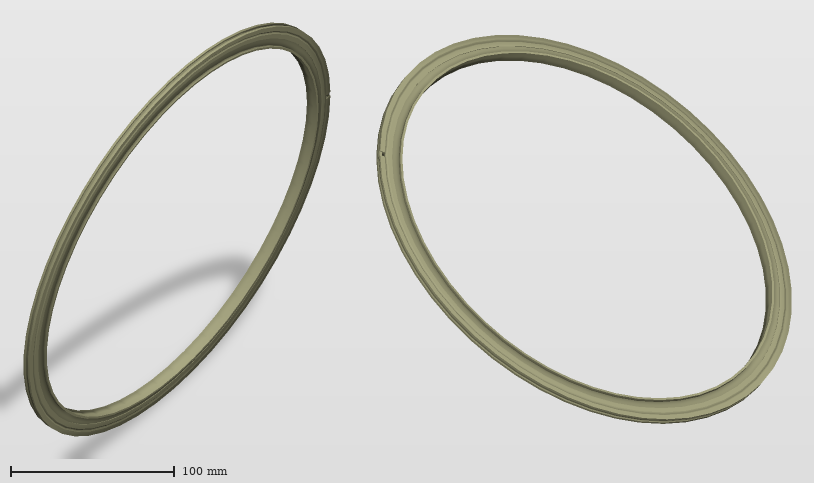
import cadquery as cq

outer_radius = 143.5
bore_radius = 129.0
sleeve_width = 8.0
sleeve_thickness = 1.5

rim_width = 5.0
web_width = 4.0
rim_inner_radius = 135.2

rim_groove_width = 2.0
rim_groove_depth = 1.1

side_groove_inner_radius = 138.3
side_groove_outer_radius = 140.3
side_groove_depth = 0.5

notch_width = 3.5
notch_floor_radius = 139.8
bridge_inner_radius = 141.8
bridge_thickness = 3.7


def ring(inner_radius, ring_outer_radius, width, center_x=0):
    """Plain ring around the X axis, centred at center_x."""
    start_x = center_x - width / 2
    return (
        cq.Workplane("YZ", origin=(start_x, 0, 0))
        .circle(ring_outer_radius)
        .circle(inner_radius)
        .extrude(width)
    )


def ring_body():
    """Wide thin sleeve with a web that thickens into the rim."""
    sleeve_radius = bore_radius + sleeve_thickness
    sleeve = ring(bore_radius, sleeve_radius, sleeve_width)
    web = ring(bore_radius, outer_radius, web_width)
    rim = ring(rim_inner_radius, outer_radius, rim_width)
    return sleeve.union(web).union(rim)


def side_groove_cutter(side):
    """V-section ring; side is -1 or 1 for the face on -X or +X."""
    face_x = side * rim_width / 2
    bottom_x = face_x - side * side_groove_depth
    bottom_radius = (side_groove_inner_radius + side_groove_outer_radius) / 2
    section = [
        (face_x, side_groove_inner_radius),
        (bottom_x, bottom_radius),
        (face_x, side_groove_outer_radius),
    ]
    return cq.Workplane("XY").polyline(section).close().revolve(360, (0, 0, 0), (1, 0, 0))


def cut_grooves(body):
    """Cut the outer groove and one groove in each side of the rim."""
    body = body.cut(ring(outer_radius - rim_groove_depth, outer_radius, rim_groove_width))
    for side in (-1, 1):
        cutter = side_groove_cutter(side)
        body = body.cut(cutter)
    return body


def notch_block(inner_radius, thickness):
    """Part of the rim in the notch, from inner_radius out to the rim surface."""
    length = outer_radius - inner_radius
    block = cq.Workplane("XY").box(thickness, length, notch_width)
    block = block.translate((0, inner_radius + length / 2, 0))
    return block.intersect(ring(bore_radius, outer_radius, sleeve_width))


grooved_ring = cut_grooves(ring_body())
notch = notch_block(notch_floor_radius, sleeve_width)
bridge = notch_block(bridge_inner_radius, bridge_thickness)
result = grooved_ring.cut(notch).union(bridge)